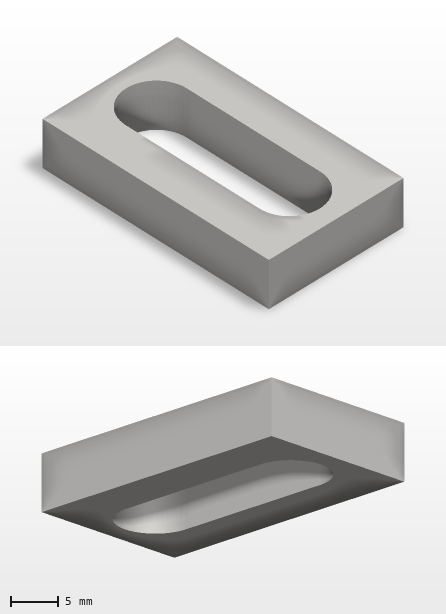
import cadquery as cq

plate_length = 34.0
plate_width = 20.0
plate_thickness = 6.6

slot_length = 29.0
slot_width = 9.0

plate = cq.Workplane("XY").box(plate_length, plate_width, plate_thickness)

result = plate.faces(">Z").workplane().slot2D(slot_length, slot_width).cutThruAll()